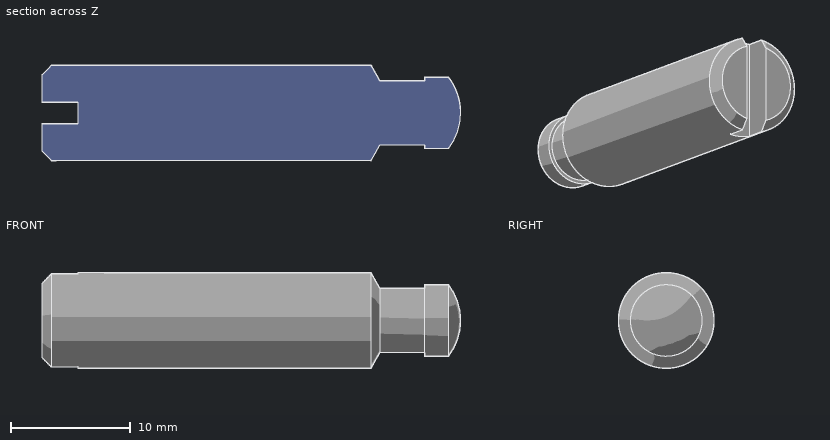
import cadquery as cq

length = 35.0
body_diameter = 8.0
neck_diameter = 5.4
head_diameter = 6.0

end_chamfer = 0.8
shoulder_start = 27.5
shoulder_length = 0.75
head_length = 3.0
dome_height = 1.0

slot_width = 1.8
slot_depth = 3.0

body_radius = body_diameter / 2
neck_radius = neck_diameter / 2
head_radius = head_diameter / 2
shoulder_end = shoulder_start + shoulder_length
head_start = length - head_length
dome_start = length - dome_height

dome_radius = (head_radius**2 + dome_height**2) / (2 * dome_height)
dome_center = length - dome_radius
dome_mid_x = length - dome_height / 2
dome_mid_radius = (dome_radius**2 - (dome_mid_x - dome_center) ** 2) ** 0.5


def turned_pin():
    """Revolve the half profile of the pin about the X axis."""
    profile = (
        cq.Workplane("XY")
        .moveTo(0, 0)
        .lineTo(0, body_radius - end_chamfer)
        .lineTo(end_chamfer, body_radius)
        .lineTo(shoulder_start, body_radius)
        .lineTo(shoulder_end, neck_radius)
        .lineTo(head_start, neck_radius)
        .lineTo(head_start, head_radius)
        .lineTo(dome_start, head_radius)
        .threePointArc((dome_mid_x, dome_mid_radius), (length, 0))
        .close()
    )
    return profile.revolve(360, (0, 0, 0), (1, 0, 0))


def driver_slot():
    """Slot across the flat end, open at top and bottom."""
    return cq.Workplane("XY").box(
        slot_depth, slot_width, body_diameter, centered=(False, True, True)
    )


result = turned_pin().cut(driver_slot())